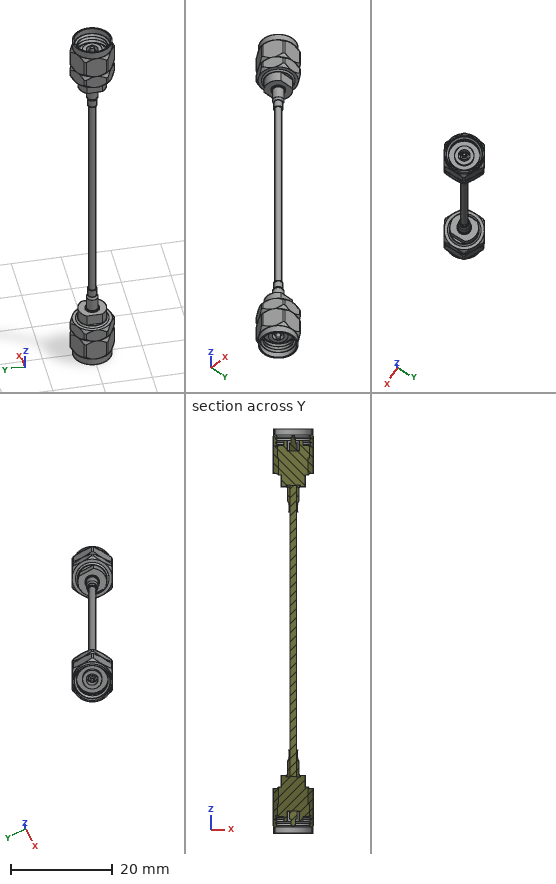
import cadquery as cq
import math

TOTAL_LENGTH = 79.5

ACROSS_FLATS = 7.92
CORNER_DIAMETER = 8.88
RIM_RADIUS = 3.9
RIM_LENGTH = 1.5
LONG_BAND_END = 6.05
NUT_LENGTH = 9.1
BAND_CHAMFER_LENGTH = 0.7
COLLAR_BASE_RADIUS = 3.3
COLLAR_TOP_RADIUS = 2.95
COLLAR_HEIGHT = 0.3

ENTRY_RADIUS = 3.6
THREAD_MAJOR_RADIUS = 3.5
THREAD_MINOR_RADIUS = 3.1
THREAD_PITCH = 0.75
THREAD_START = 1.2
THREAD_TURNS = 3

FLANGE_FACE = 3.2
FLANGE_LENGTH = 2.5
NECK_RADIUS = 2.85
NECK_ACROSS_FLATS = 4.76
BODY_END = 11.4
PLUG_RADIUS = 1.92
PLUG_HEIGHT = 0.9
PLUG_BORE_RADIUS = 1.15
PLUG_BORE_DEPTH = 2.0
REAR_RECESS_RADIUS = 1.42
REAR_RECESS_DEPTH = 0.3

PIN_RADIUS = 0.45
PIN_TIP_RADIUS = 0.25
PIN_TIP = 1.4
PIN_TAPER_LENGTH = 0.3
PIN_SHOULDER_RADIUS = 0.75
PIN_SHOULDER = 2.8

FERRULE_FOOT_RADIUS = 1.25
FERRULE_FOOT_END = 11.55
BARREL_RADIUS = 1.17
BARREL_END = 14.2
SLEEVE_RADIUS = 0.92
TAPER_END_RADIUS = 0.82
SLEEVE_START = 14.75
SLEEVE_END = 16.4

CABLE_RADIUS = 0.7

SHORT_BAND_END = NUT_LENGTH - COLLAR_HEIGHT
FLANGE_BACK = FLANGE_FACE + FLANGE_LENGTH
PLUG_TIP = FLANGE_FACE - PLUG_HEIGHT
PLUG_BORE_FLOOR = PLUG_TIP + PLUG_BORE_DEPTH
FERRULE_START = BODY_END - REAR_RECESS_DEPTH


def turned(profile):
    """Revolve (radius, depth below the rim) points about Z."""
    points = [(radius, -depth) for radius, depth in profile]
    return cq.Workplane("XZ").polyline(points).close().revolve(360, (0, 0), (0, 1))


def disc(radius, start, end):
    """A cylinder about Z between two depths below the rim."""
    return cq.Workplane("XY").workplane(offset=-end).circle(radius).extrude(end - start)


def make_nut():
    flat_radius = ACROSS_FLATS / 2
    corner_radius = CORNER_DIAMETER / 2
    envelope = turned([
        (0, 0),
        (RIM_RADIUS, 0),
        (RIM_RADIUS, RIM_LENGTH),
        (flat_radius, RIM_LENGTH),
        (corner_radius, RIM_LENGTH + BAND_CHAMFER_LENGTH),
        (corner_radius, LONG_BAND_END - BAND_CHAMFER_LENGTH),
        (flat_radius, LONG_BAND_END),
        (corner_radius, LONG_BAND_END + BAND_CHAMFER_LENGTH),
        (corner_radius, SHORT_BAND_END - BAND_CHAMFER_LENGTH),
        (flat_radius, SHORT_BAND_END),
        (COLLAR_BASE_RADIUS, SHORT_BAND_END),
        (COLLAR_TOP_RADIUS, NUT_LENGTH),
        (0, NUT_LENGTH),
    ])
    hexagon = (
        cq.Workplane("XY")
        .workplane(offset=-NUT_LENGTH)
        .polygon(6, ACROSS_FLATS / math.cos(math.pi / 6))
        .extrude(NUT_LENGTH)
        .rotate((0, 0, 0), (0, 0, 1), 30)
    )
    nut = envelope.intersect(hexagon)
    nut = nut.cut(disc(ENTRY_RADIUS, 0, THREAD_START))
    nut = nut.cut(disc(THREAD_MINOR_RADIUS, 0, FLANGE_BACK))
    nut = nut.cut(disc(NECK_RADIUS, 0, NUT_LENGTH))
    for turn in range(THREAD_TURNS):
        nut = nut.cut(thread_turn_cut(THREAD_START + turn * THREAD_PITCH))
    return nut


def thread_turn_cut(start):
    """The space inside one turn, which leaves a V-shaped ridge on the nut wall."""
    middle = start + THREAD_PITCH / 2
    end = start + THREAD_PITCH
    return turned([
        (0, start),
        (THREAD_MAJOR_RADIUS, start),
        (THREAD_MINOR_RADIUS, middle),
        (THREAD_MAJOR_RADIUS, end),
        (0, end),
    ])


def make_body():
    body = turned([
        (0, PLUG_TIP),
        (PLUG_RADIUS, PLUG_TIP),
        (PLUG_RADIUS, FLANGE_FACE),
        (THREAD_MINOR_RADIUS, FLANGE_FACE),
        (THREAD_MINOR_RADIUS, FLANGE_BACK),
        (NECK_RADIUS, FLANGE_BACK),
        (NECK_RADIUS, BODY_END),
        (0, BODY_END),
    ])
    exposed_neck = BODY_END - NUT_LENGTH
    for side in (-1, 1):
        flat_cut = cq.Workplane("XY").box(NECK_RADIUS, 2 * NECK_RADIUS, exposed_neck)
        offset = side * (NECK_ACROSS_FLATS + NECK_RADIUS) / 2
        body = body.cut(flat_cut.translate((offset, 0, -(NUT_LENGTH + BODY_END) / 2)))
    body = body.cut(disc(PLUG_BORE_RADIUS, PLUG_TIP, PLUG_BORE_FLOOR))
    return body.cut(disc(REAR_RECESS_RADIUS, FERRULE_START, BODY_END))


def make_pin():
    return turned([
        (0, PIN_TIP),
        (PIN_TIP_RADIUS, PIN_TIP),
        (PIN_RADIUS, PIN_TIP + PIN_TAPER_LENGTH),
        (PIN_RADIUS, PIN_SHOULDER),
        (PIN_SHOULDER_RADIUS, PIN_SHOULDER),
        (PIN_SHOULDER_RADIUS, PLUG_BORE_FLOOR),
        (0, PLUG_BORE_FLOOR),
    ])


def make_ferrule():
    ferrule = turned([
        (0, FERRULE_START),
        (FERRULE_FOOT_RADIUS, FERRULE_START),
        (FERRULE_FOOT_RADIUS, FERRULE_FOOT_END),
        (BARREL_RADIUS, FERRULE_FOOT_END),
        (BARREL_RADIUS, BARREL_END),
        (TAPER_END_RADIUS, SLEEVE_START),
        (SLEEVE_RADIUS, SLEEVE_START),
        (SLEEVE_RADIUS, SLEEVE_END),
        (0, SLEEVE_END),
    ])
    return ferrule.cut(disc(CABLE_RADIUS, FERRULE_START, SLEEVE_END))


def make_cable():
    return disc(CABLE_RADIUS, FERRULE_START, TOTAL_LENGTH - FERRULE_START)


solids = [make_cable().translate((0, 0, TOTAL_LENGTH / 2)).val()]
for make_part in (make_nut, make_body, make_pin, make_ferrule):
    upper = make_part().translate((0, 0, TOTAL_LENGTH / 2))
    lower = upper.rotate((0, 0, 0), (1, 0, 0), 180)
    solids += [upper.val(), lower.val()]

result = cq.Compound.makeCompound(solids)